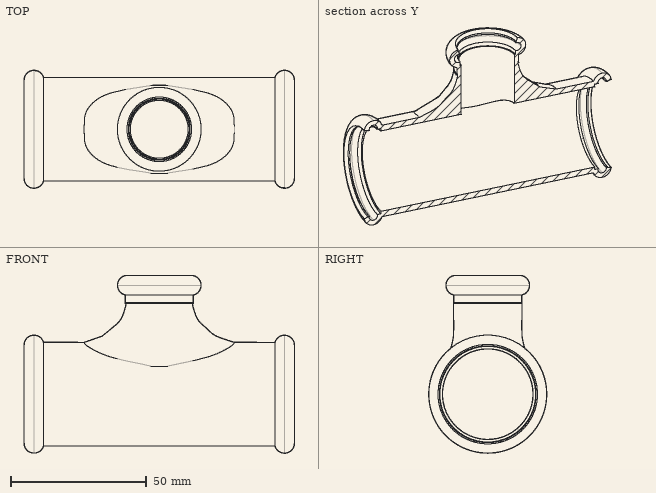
import cadquery as cq

run_length = 100.0
run_outer_radius = 38.4 / 2
run_bead_radius = 43.7 / 2
run_lip_radius = 35.8 / 2
run_seat_radius = 35.4 / 2
run_bore_radius = 16.7

branch_top = 65.8 - run_bead_radius
branch_outer_radius = 25.3 / 2
branch_bead_radius = 15.5
branch_lip_radius = 22.9 / 2
branch_seat_radius = 22.3 / 2
branch_bore_radius = 10.7
saddle_top = 33.5

bead_width = 7.4
groove_radius = 1.6
mouth_flare = 0.5
mouth_depth = 1.5
seat_depth = 6.7

saddle_sections = [
    (10.2, 47.0, 16.3),
    (14.0, 43.0, 14.6),
    (17.2, 33.0, 13.6),
    (19.4, 27.1, 13.1),
    (21.5, 21.1, 12.8),
    (23.8, 18.1, 12.7),
    (26.0, 15.6, 12.7),
    (30.6, 13.0, 12.7),
    (saddle_top, branch_outer_radius, branch_outer_radius),
]


def torus(ring_radius, section_radius, height):
    """Ring about Z, centred at the given height."""
    section = cq.Workplane("XZ").center(ring_radius, height).circle(section_radius)
    return section.revolve(360, (-ring_radius, 0), (-ring_radius, 1))


def bead(bead_radius, top):
    """Half-round bead about Z, with its end face at the given top height."""
    round_radius = bead_width / 2
    ring_radius = bead_radius - round_radius
    bottom = top - bead_width
    core = cq.Workplane("XY").workplane(offset=bottom).circle(ring_radius).extrude(bead_width)
    return core.union(torus(ring_radius, round_radius, top - round_radius))


def mouth_cavity(lip_radius, seat_radius, bead_radius, top):
    """Flared entry, lip, seal groove and tube seat to be cut below the top."""
    round_radius = bead_width / 2
    groove_height = top - round_radius
    entry = (
        cq.Workplane("XZ")
        .moveTo(0, top)
        .lineTo(lip_radius + mouth_flare, top)
        .lineTo(lip_radius, top - mouth_depth)
        .lineTo(lip_radius, groove_height)
        .lineTo(seat_radius, groove_height)
        .lineTo(seat_radius, top - seat_depth)
        .lineTo(0, top - seat_depth)
        .close()
        .revolve(360, (0, 0), (0, 1))
    )
    return entry.union(torus(bead_radius - round_radius, groove_radius, groove_height))


def saddle():
    """Smooth flare between the run and the round branch neck."""
    flare = cq.Workplane("XY")
    previous_height = 0
    for height, half_length, half_width in saddle_sections:
        flare = flare.workplane(offset=height - previous_height).ellipse(half_length, half_width)
        previous_height = height
    return flare.loft()


def turned_to_run_end(shape, side):
    """Turn a shape built along +Z towards the +X or -X end."""
    return shape.rotate((0, 0, 0), (0, 1, 0), side * 90)


body = cq.Workplane("YZ").circle(run_outer_radius).extrude(run_length / 2 - bead_width / 2, both=True)
neck_height = branch_top - bead_width / 2 - saddle_top
neck = cq.Workplane("XY").workplane(offset=saddle_top).circle(branch_outer_radius).extrude(neck_height)
body = body.union(neck).union(saddle())
body = body.union(bead(branch_bead_radius, branch_top))
run_bead = bead(run_bead_radius, run_length / 2)
for side in (-1, 1):
    body = body.union(turned_to_run_end(run_bead, side))

body = body.cut(cq.Workplane("YZ").circle(run_bore_radius).extrude(run_length / 2, both=True))
body = body.cut(cq.Workplane("XY").circle(branch_bore_radius).extrude(branch_top))

body = body.cut(mouth_cavity(branch_lip_radius, branch_seat_radius, branch_bead_radius, branch_top))
run_mouth = mouth_cavity(run_lip_radius, run_seat_radius, run_bead_radius, run_length / 2)
for side in (-1, 1):
    body = body.cut(turned_to_run_end(run_mouth, side))

result = body